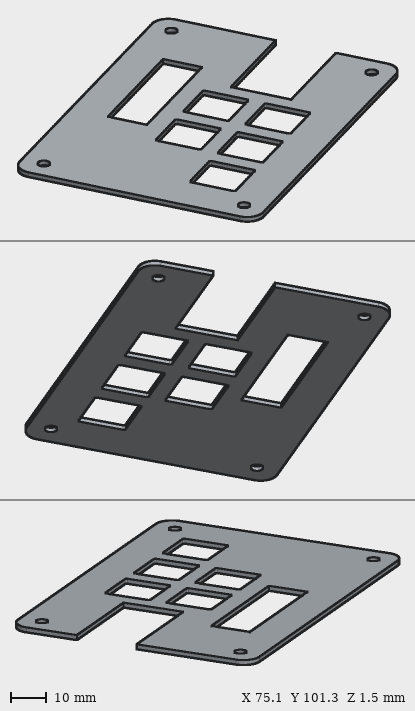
import cadquery as cq

plate_width = 75.1
plate_length = 101.3
plate_thickness = 1.5
plate_corner_radius = 5.0

screw_hole_diameter = 3.4
screw_hole_inset = 6.7

key_size = 14.0
key_corner_radius = 0.5
key_pitch = 19.0
first_key_x = -0.9
first_key_y = 7.7
key_cells = [(0, 0), (1, 0), (0, 1), (1, 1), (1, 2)]

display_width = 12.0
display_length = 38.1
display_x = -20.0
display_y = 8.3

notch_width = 18.5
notch_depth = 30.9
notch_x = 7.6


def through_box(width, length, x, y):
    """Rectangular cutter through the full plate thickness, centred on (x, y)."""
    cutter = cq.Workplane("XY").box(width, length, plate_thickness, centered=(True, True, False))
    return cutter.translate((x, y, 0))


def make_plate():
    blank = through_box(plate_width, plate_length, 0, 0)
    return blank.edges("|Z").fillet(plate_corner_radius)


def cut_screw_holes(body):
    spacing_x = plate_width - 2 * screw_hole_inset
    spacing_y = plate_length - 2 * screw_hole_inset
    pattern = body.faces(">Z").workplane().rect(spacing_x, spacing_y, forConstruction=True)
    return pattern.vertices().hole(screw_hole_diameter)


def cut_key_windows(body):
    for column, row in key_cells:
        x = first_key_x + column * key_pitch
        y = first_key_y - row * key_pitch
        window = through_box(key_size, key_size, x, y)
        body = body.cut(window.edges("|Z").fillet(key_corner_radius))
    return body


def cut_display_window(body):
    return body.cut(through_box(display_width, display_length, display_x, display_y))


def cut_notch(body):
    notch_y = (plate_length - notch_depth) / 2
    return body.cut(through_box(notch_width, notch_depth, notch_x, notch_y))


result = make_plate()
result = cut_screw_holes(result)
result = cut_key_windows(result)
result = cut_display_window(result)
result = cut_notch(result)